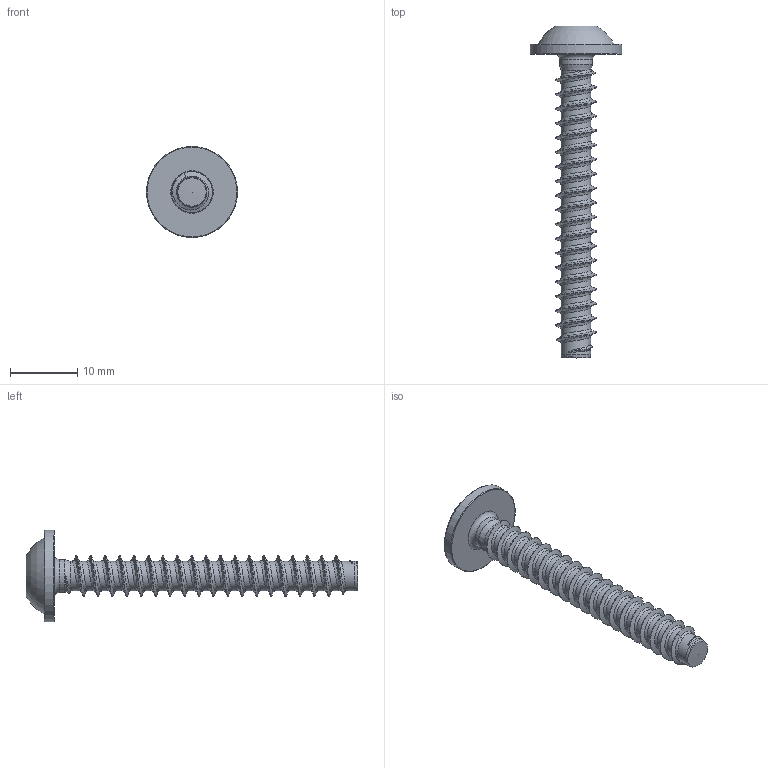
import cadquery as cq
import math


flange_radius = 6.75
flange_thickness = 1.5
flange_edge_round = 0.1
head_height = 4.2
dome_base_radius = 5.65
dome_top_radius = 3.0

shank_length = 45.0
neck_radius = 2.45
neck_end = 1.5
underhead_fillet = 0.7
core_radius = 2.18
core_start = 2.4
tip_radius = 2.1
tip_chamfer_length = 0.4
tip_cone_height = 0.06

pitch = 2.14
crest_radius = 3.03
crest_width = 0.06
flank_foot_radius = 2.34
flank_foot_width = 0.5
root_width = 1.5
root_sink = 0.04
faded_crest_sink = 0.02
root_radius = core_radius - root_sink
faded_crest_radius = core_radius - faded_crest_sink
run_in_start = 1.0
full_thread_start = 3.2
full_thread_end = 41.9
run_out_end = 44.15
crest_position_at_plus_x = 41.23


def make_head():
    """Flange with a domed, flat-topped head on it."""
    dome_height = head_height - flange_thickness
    sphere_centre = (dome_height**2 + dome_top_radius**2 - dome_base_radius**2) / (2 * dome_height)
    sphere_radius = math.hypot(dome_base_radius, sphere_centre)
    mid_angle = (
        math.atan2(dome_height - sphere_centre, dome_top_radius)
        + math.atan2(-sphere_centre, dome_base_radius)
    ) / 2
    dome_middle = (
        sphere_radius * math.cos(mid_angle),
        flange_thickness + sphere_centre + sphere_radius * math.sin(mid_angle),
    )
    dome = (
        cq.Workplane("XY")
        .lineTo(dome_base_radius, 0)
        .lineTo(dome_base_radius, flange_thickness)
        .threePointArc(dome_middle, (dome_top_radius, head_height))
        .lineTo(0, head_height)
        .close()
        .revolve(360, (0, 0), (0, 1))
    )
    flange = (
        cq.Workplane("XZ")
        .circle(flange_radius)
        .extrude(-flange_thickness)
        .edges("%CIRCLE")
        .fillet(flange_edge_round)
    )
    return flange.union(dome)


def make_shank():
    """Plain shank: filleted neck, taper to the core, and a chamfered, slightly conical tip."""
    fillet_middle_offset = underhead_fillet * (1 - math.sqrt(0.5))
    tip_edge = -shank_length + tip_cone_height
    return (
        cq.Workplane("XY")
        .moveTo(0, flange_thickness)
        .lineTo(neck_radius + underhead_fillet, flange_thickness)
        .lineTo(neck_radius + underhead_fillet, 0)
        .threePointArc(
            (neck_radius + fillet_middle_offset, -fillet_middle_offset),
            (neck_radius, -underhead_fillet),
        )
        .lineTo(neck_radius, -neck_end)
        .lineTo(core_radius, -core_start)
        .lineTo(core_radius, tip_edge + tip_chamfer_length)
        .lineTo(tip_radius, tip_edge)
        .lineTo(0, -shank_length)
        .close()
        .revolve(360, (0, 0), (0, 1))
    )


def helix_edge(start, end, offset, start_radius, end_radius):
    """Right-hand helix about Z whose radius changes evenly over the stretch from start to end.

    The whole edge is moved along Z by the offset without turning it.
    """
    length = end - start
    if start_radius == end_radius:
        wire = cq.Wire.makeHelix(pitch, length, start_radius)
    else:
        slope = math.atan2(end_radius - start_radius, length)
        slant = 1 / math.cos(slope)
        wire = cq.Wire.makeHelix(pitch * slant, length * slant, start_radius, angle=math.degrees(slope))
    start_angle = 360 * (start - crest_position_at_plus_x) / pitch
    turned = wire.rotate(cq.Vector(0, 0, 0), cq.Vector(0, 0, 1), start_angle)
    return turned.translate(cq.Vector(0, 0, start + offset)).Edges()[0]


def ridge_profile(crest):
    """Points (radius, offset along the axis) around the ridge for a given crest radius."""
    height_share = (crest - root_radius) / (crest_radius - root_radius)
    foot = root_radius + height_share * (flank_foot_radius - root_radius)
    half_profile = [
        (root_radius, root_width / 2),
        (foot, flank_foot_width / 2),
        (crest, crest_width / 2),
    ]
    return [(radius, -offset) for radius, offset in half_profile] + half_profile[::-1]


def thread_section(start, end, start_crest, end_crest):
    """Solid ridge wound about Z, with its crest radius changing evenly from start to end."""
    profile_pairs = zip(ridge_profile(start_crest), ridge_profile(end_crest))
    edges = [
        helix_edge(start, end, offset, start_radius, end_radius)
        for (start_radius, offset), (end_radius, _) in profile_pairs
    ]
    faces = [cq.Face.makeRuledSurface(edge, edges[i - 1]) for i, edge in enumerate(edges)]
    for end_position in (0, 1):
        corners = [edge.positionAt(end_position) for edge in edges]
        faces.append(cq.Face.makeFromWires(cq.Wire.makePolygon(corners, close=True)))
    return cq.Solid.makeSolid(cq.Shell.makeShell(faces))


def make_thread():
    """Run-in, full-height and run-out ridges, in place along the shank."""
    sections = [
        thread_section(run_in_start, full_thread_start, faded_crest_radius, crest_radius),
        thread_section(full_thread_start, full_thread_end, crest_radius, crest_radius),
        thread_section(full_thread_end, run_out_end, crest_radius, faded_crest_radius),
    ]
    return [section.rotate(cq.Vector(0, 0, 0), cq.Vector(1, 0, 0), 90) for section in sections]


result = make_head().union(make_shank())
for section in make_thread():
    result = result.union(cq.Workplane(section))